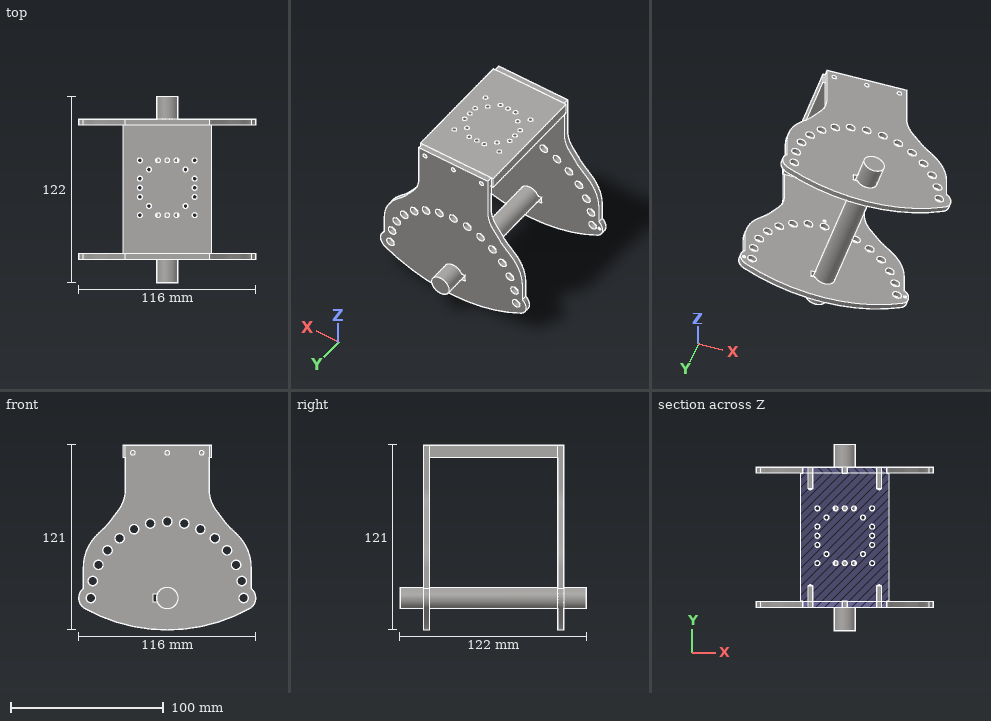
import cadquery as cq
import math

axle_length = 122.0
axle_center_y = -0.2
axle_diameter = 14.0

plate_gap = 83.9
plate_thickness = 4.0
top_height = 100.0
bottom_drop = 21.0
overall_width = 116.0
body_width = 110.0
neck_width = body_width / 2

neck_end_z = 71.0
upper_joint_x = 31.7
upper_joint_z = 58.0
middle_joint_x = 39.8
middle_joint_z = 47.5
body_corner_radius = 30.0
body_corner_z = 20.0
lower_joint_z = 39.0

index_radius = 50.0
index_hole_diameter = 6.0
index_hole_count = 15

mark_radius = 55.5
mark_diameter = 2.0
mark_depth = 1.0
mark_angles = (0, 90, 180)

keyway_reach = 9.3
keyway_width = 5.0

top_plate_width = 58.0
top_plate_thickness = 8.0
mount_pitch = 6.0
mount_center_y = 1.0
mount_hole_diameter = 3.0

screw_diameter = 3.0
screw_spacing = 45.0
screw_depth_from_top = 5.0
screw_hole_depth = 10.0
drill_point_angle = 118

half_gap = plate_gap / 2
screw_z = top_height - screw_depth_from_top
ear_radius = overall_width / 2 - index_radius


def on_circle(radius, degrees):
    """Point on a circle around the axle, in the XZ plane."""
    angle = math.radians(degrees)
    return radius * math.cos(angle), radius * math.sin(angle)


def side_plate_half():
    """The +X half of the plate outline, extruded away from the inner face."""
    side_x = body_width / 2
    ear_top_z = math.sqrt(ear_radius**2 - (side_x - index_radius) ** 2)

    drop_below_ear = bottom_drop - ear_radius
    arc_center_z = (index_radius**2 - drop_below_ear**2) / (2 * drop_below_ear)
    center_to_ear = arc_center_z + drop_below_ear
    ear_end_x = index_radius + ear_radius * index_radius / center_to_ear
    ear_end_z = -ear_radius * arc_center_z / center_to_ear
    bottom_radius = arc_center_z + bottom_drop
    half_sweep = math.asin(ear_end_x / bottom_radius) / 2
    bottom_middle = (
        bottom_radius * math.sin(half_sweep),
        arc_center_z - bottom_radius * math.cos(half_sweep),
    )

    corner_center_x = side_x - body_corner_radius
    corner_angle = math.asin((lower_joint_z - body_corner_z) / body_corner_radius)
    lower_joint_x = corner_center_x + body_corner_radius * math.cos(corner_angle)
    corner_middle = (
        corner_center_x + body_corner_radius * math.cos(corner_angle / 2),
        body_corner_z + body_corner_radius * math.sin(corner_angle / 2),
    )
    corner_tangent = (math.sin(corner_angle), -math.cos(corner_angle))

    upper_turn = 2 * math.atan2(upper_joint_x - neck_width / 2, neck_end_z - upper_joint_z)
    upper_tangent = (math.sin(upper_turn), -math.cos(upper_turn))

    return (
        cq.Workplane("XZ", origin=(0, -half_gap, 0))
        .moveTo(0, top_height)
        .lineTo(neck_width / 2, top_height)
        .lineTo(neck_width / 2, neck_end_z)
        .tangentArcPoint((upper_joint_x, upper_joint_z), relative=False)
        .spline(
            [(middle_joint_x, middle_joint_z), (lower_joint_x, lower_joint_z)],
            tangents=[upper_tangent, corner_tangent],
            includeCurrent=True,
        )
        .threePointArc(corner_middle, (side_x, body_corner_z))
        .lineTo(side_x, ear_top_z)
        .threePointArc((index_radius + ear_radius, 0), (ear_end_x, ear_end_z))
        .threePointArc(bottom_middle, (0, -bottom_drop))
        .close()
        .extrude(plate_thickness)
    )


def inner_face_holes(points, diameter, depth):
    """Round cutters that go from the inner face into the front plate."""
    return (
        cq.Workplane("XZ", origin=(0, -half_gap, 0))
        .pushPoints(points)
        .circle(diameter / 2)
        .extrude(depth)
    )


def make_front_plate():
    half = side_plate_half()
    plate = half.union(half.mirror("YZ"))

    step = 180 / (index_hole_count - 1)
    index_points = [on_circle(index_radius, i * step) for i in range(index_hole_count)]
    plate = plate.cut(inner_face_holes(index_points, index_hole_diameter, plate_thickness))

    mark_points = [on_circle(mark_radius, angle) for angle in mark_angles]
    plate = plate.cut(inner_face_holes(mark_points, mark_diameter, mark_depth))

    screw_points = [(i * screw_spacing / 2, screw_z) for i in (-1, 0, 1)]
    plate = plate.cut(inner_face_holes(screw_points, screw_diameter, plate_thickness))

    plate = plate.cut(inner_face_holes([(0, 0)], axle_diameter, plate_thickness))
    keyway = (
        cq.Workplane("XZ", origin=(0, -half_gap, 0))
        .center(-keyway_reach / 2, 0)
        .rect(keyway_reach, keyway_width)
        .extrude(plate_thickness)
    )
    return plate.cut(keyway)


def drilled_screw_hole(x):
    """Blind hole with a conical end, drilled into the -Y end of the top plate."""
    radius = screw_diameter / 2
    tip_length = radius / math.tan(math.radians(drill_point_angle / 2))
    return (
        cq.Workplane("XY", origin=(x, -half_gap, screw_z))
        .lineTo(radius, 0)
        .lineTo(radius, screw_hole_depth)
        .lineTo(0, screw_hole_depth + tip_length)
        .close()
        .revolve(360, (0, 0), (0, 1))
    )


def mounting_points():
    """Hole positions on the top plate, relative to the centre of their square pattern."""
    inner = 2 * mount_pitch
    outer = 3 * mount_pitch
    points = []
    for side in (-1, 1):
        for end in (-1, 1):
            points.append((side * inner, end * inner))
            points.append((side * outer, end * outer))
        for row in (-1, 0, 1):
            points.append((side * outer, row * mount_pitch))
            points.append((row * mount_pitch, side * outer))
    return points


def make_top_plate():
    plate = (
        cq.Workplane("XY", origin=(0, 0, top_height - top_plate_thickness))
        .rect(top_plate_width, plate_gap)
        .extrude(top_plate_thickness)
        .faces(">Z")
        .workplane(origin=(0, mount_center_y, top_height))
        .pushPoints(mounting_points())
        .hole(mount_hole_diameter)
    )
    for x in (-screw_spacing / 2, screw_spacing / 2):
        hole = drilled_screw_hole(x)
        plate = plate.cut(hole).cut(hole.mirror("XZ"))
    return plate


def make_axle():
    return (
        cq.Workplane("XZ", origin=(0, axle_center_y + axle_length / 2, 0))
        .circle(axle_diameter / 2)
        .extrude(axle_length)
    )


front_plate = make_front_plate()
side_plates = [front_plate, front_plate.mirror("XZ")]
top_plate = make_top_plate()
axle = make_axle()

result = cq.Compound.makeCompound(
    [
        *[plate.solids().val() for plate in side_plates],
        top_plate.solids().val(),
        axle.solids().val(),
    ]
)